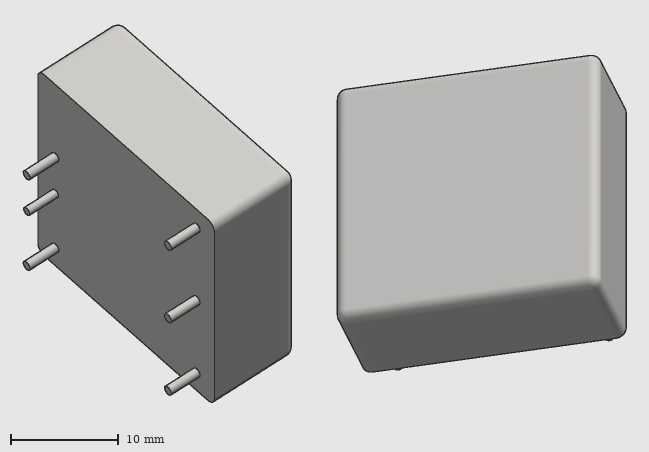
import cadquery as cq

case_side = 25.4
case_depth = 9.9
edge_radius = 1.0

pin_length = 3.5
pin_diameter = 1.0
thin_pin_diameter = 0.9
grid_pitch = 2.55
column_offset = 4 * grid_pitch

pins = [
    (column_offset, 4 * grid_pitch, pin_diameter),
    (column_offset, 0, pin_diameter),
    (column_offset, -4 * grid_pitch, pin_diameter),
    (-column_offset, grid_pitch, pin_diameter),
    (-column_offset, -grid_pitch, thin_pin_diameter),
    (-column_offset, -4 * grid_pitch, pin_diameter),
]


def make_case():
    """Block with rounded corners and a rounded back rim; the pin face stays sharp."""
    block = cq.Workplane("XY").box(case_side, case_depth, case_side)
    block = block.translate((0, case_depth / 2, 0))
    return block.edges("|Y or >Y").fillet(edge_radius)


def make_pin(x, z, diameter):
    """Round pin from the case face out towards -Y."""
    pin = cq.Workplane("XZ").circle(diameter / 2).extrude(pin_length)
    return pin.translate((x, 0, z))


result = make_case()
for x, z, diameter in pins:
    result = result.union(make_pin(x, z, diameter))